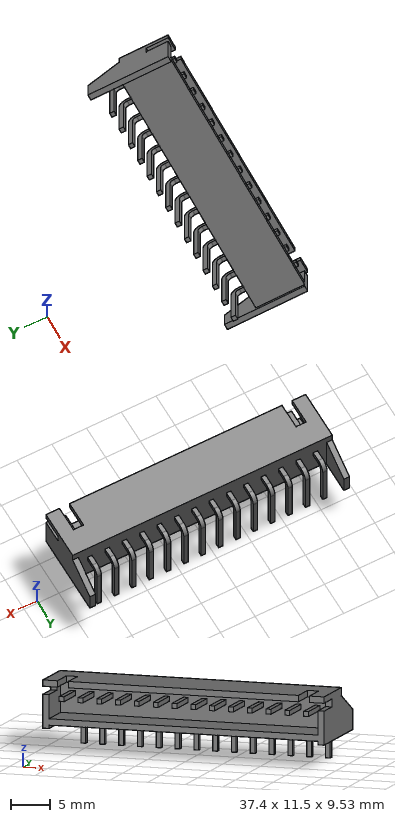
import cadquery as cq


length = 37.4
housing_height = 6.2
housing_depth = 7.0
wall = 0.82
floor_underside = 0.45
cavity_depth = 4.7

wing_depth = 11.5
wing_rear_height = 2.65
wing_shoulder_height = 5.12

notch_depth = 3.15
notch_height = 1.0

slot_width = 1.45
slot_depth = 3.65
slot_edge_offset = 1.95

pin_count = 14
pin_span = 32.5
pin_pitch = pin_span / (pin_count - 1)
pin_size = 0.65
pin_tip_setback = 0.2
pin_axis_height = 3.85
pin_rear = 9.5
pin_tail = 3.33
bend_outer_radius = 1.2

roof_underside = housing_height - wall
inner_length = length - 2 * wall


def box(x_min, y_min, z_min, x_size, y_size, z_size):
    """Box placed by its minimum corner."""
    return cq.Workplane("XY").box(x_size, y_size, z_size, centered=False).translate((x_min, y_min, z_min))


def make_side_wall(x_min):
    """Side wall with its rear wing, extruded along X from x_min."""
    outline = [
        (0, 0),
        (wing_depth, 0),
        (wing_depth, wing_rear_height),
        (housing_depth, wing_shoulder_height),
        (housing_depth, housing_height),
        (0, housing_height),
    ]
    return cq.Workplane("YZ").polyline(outline).close().extrude(wall).translate((x_min, 0, 0))


def make_housing():
    """Shroud with its cavity open to the front, side notches and keying slots."""
    body_height = housing_height - floor_underside
    housing = box(-length / 2, 0, floor_underside, length, housing_depth, body_height)
    for x_min in (-length / 2, length / 2 - wall):
        housing = housing.union(make_side_wall(x_min))

    cavity_floor = floor_underside + wall
    cavity = box(
        -inner_length / 2, 0, cavity_floor, inner_length, cavity_depth, roof_underside - cavity_floor
    )
    notches = box(-length / 2, 0, roof_underside - notch_height, length, notch_depth, notch_height)
    housing = housing.cut(cavity).cut(notches)

    slot_left = -length / 2 + slot_edge_offset
    for x_min in (slot_left, -slot_left - slot_width):
        housing = housing.cut(box(x_min, 0, roof_underside, slot_width, slot_depth, wall))
    return housing


def make_pin(x_center):
    """Square pin running back from the cavity and bent down behind the housing."""
    pin_top = pin_axis_height + pin_size / 2
    pin_bottom = pin_axis_height - pin_size / 2
    contact = box(
        x_center - pin_size / 2, pin_tip_setback, pin_bottom, pin_size, pin_rear - pin_tip_setback, pin_size
    )
    tail = box(
        x_center - pin_size / 2, pin_rear - pin_size, -pin_tail, pin_size, pin_size, pin_top + pin_tail
    )
    pin = contact.union(tail)
    outer_corner = cq.selectors.NearestToPointSelector((x_center, pin_rear, pin_top))
    inner_corner = cq.selectors.NearestToPointSelector((x_center, pin_rear - pin_size, pin_bottom))
    pin = pin.edges("|X").edges(inner_corner).fillet(bend_outer_radius - pin_size)
    return pin.edges("|X").edges(outer_corner).fillet(bend_outer_radius)


result = make_housing()
for index in range(pin_count):
    result = result.union(make_pin((index - (pin_count - 1) / 2) * pin_pitch))